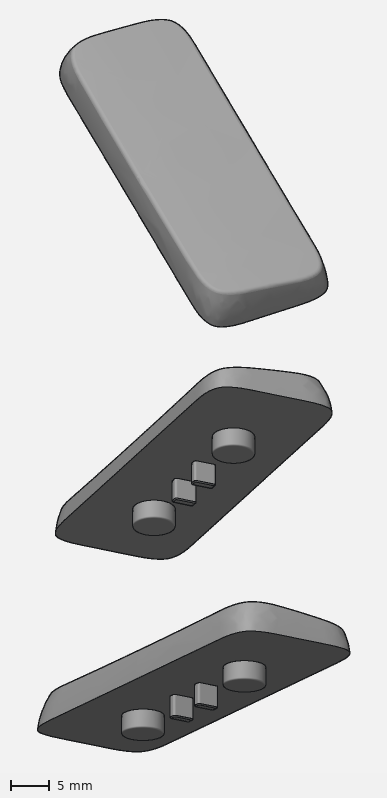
import cadquery as cq
import math

length = 51.3
width = 18.0

wall_sections = [
    (0.0, 0.0, 0.0, 0.83),
    (2.8, 0.55, 0.4, 0.82),
    (5.15, 1.55, 1.25, 0.8),
]
corner_length = 7.7
corner_width = 5.15

crest_height = 4.45
crest_y = -7.7
slope_y = -2.05
slope_height = 4.15
top_slope = 0.125
dish_depth = 0.25
dish_half_length = 23.6
rim_fillet = 0.6

boss_diameter = 5.5
boss_length = 2.5
boss_spacing = 23.9
boss_fillet = 0.2

leg_thickness = 1.25
leg_width = 3.05
leg_length = 3.0
leg_spacing = 5.8
leg_corner_radius = 0.3
leg_tip_chamfer = 0.15

overlap = 0.5


def half_outline(height, end_inset, side_inset, fullness, side):
    """Smooth curve around one end of the cap; side is 1 for the +X end and -1 for the -X end."""
    x_end = length / 2 - end_inset
    y_side = width / 2 - side_inset
    x_straight = x_end - corner_length
    y_straight = y_side - corner_width
    x_corner = x_straight + fullness * corner_length
    y_corner = y_straight + fullness * corner_width
    diagonal = math.hypot(corner_length, corner_width)
    slant_x = corner_length / diagonal
    slant_y = corner_width / diagonal
    points_and_tangents = [
        (0, -y_side, 1, 0),
        (x_straight, -y_side, 1, 0),
        (x_corner, -y_corner, slant_x, slant_y),
        (x_end, -y_straight, 0, 1),
        (x_end, y_straight, 0, 1),
        (x_corner, y_corner, -slant_x, slant_y),
        (x_straight, y_side, -1, 0),
        (0, y_side, -1, 0),
    ]
    points = [cq.Vector(side * x, side * y, height) for x, y, _, _ in points_and_tangents]
    tangents = [cq.Vector(side * dx, side * dy, 0) for _, _, dx, dy in points_and_tangents]
    return cq.Edge.makeSpline(points, tangents=tangents)


def wall_outline(section):
    """Closed outline of two matching halves that meet at the middle of the long sides."""
    return cq.Wire.assembleEdges([half_outline(*section, 1), half_outline(*section, -1)])


def make_walls():
    """Cap body with tapered walls, before its top is shaped."""
    return cq.Workplane(cq.Solid.makeLoft([wall_outline(section) for section in wall_sections]))


def make_dish_cutter():
    """Everything above the top face: its Y profile revolved about a distant axis parallel to Y."""
    dish_radius = (dish_half_length**2 + dish_depth**2) / (2 * dish_depth)
    sweep_angle = 2 * math.degrees(math.asin((length / 2 + overlap) / dish_radius))
    axis_height = crest_height + dish_radius
    reach = width / 2 + overlap
    clear_height = max(height for height, _, _, _ in wall_sections) + 2 * overlap
    slope_end = (reach, slope_height - top_slope * (reach - slope_y))
    return (
        cq.Workplane("YZ")
        .moveTo(-reach, crest_height)
        .spline(
            [(crest_y, crest_height), (slope_y, slope_height), slope_end],
            tangents=[(1, 0), (1, -top_slope)],
            includeCurrent=True,
        )
        .lineTo(reach, clear_height)
        .lineTo(-reach, clear_height)
        .close()
        .revolve(sweep_angle, (0, axis_height), (1, axis_height))
        .rotate((0, 0, axis_height), (0, 1, axis_height), -sweep_angle / 2)
    )


def make_bosses():
    """Two round bosses with a rounded lower rim."""
    return (
        cq.Workplane("XY", origin=(0, 0, overlap))
        .pushPoints([(-boss_spacing / 2, 0), (boss_spacing / 2, 0)])
        .circle(boss_diameter / 2)
        .extrude(-boss_length - overlap)
        .faces("<Z")
        .edges()
        .fillet(boss_fillet)
    )


def make_legs():
    """Two flat legs with rounded corners and chamfered tips."""
    return (
        cq.Workplane("XY", origin=(0, 0, overlap))
        .pushPoints([(-leg_spacing / 2, 0), (leg_spacing / 2, 0)])
        .rect(leg_thickness, leg_width)
        .extrude(-leg_length - overlap)
        .edges("|Z")
        .fillet(leg_corner_radius)
        .faces("<Z")
        .edges()
        .chamfer(leg_tip_chamfer)
    )


cap = make_walls().cut(make_dish_cutter())
cap = cap.faces(">Z").edges().fillet(rim_fillet)
result = cap.union(make_bosses()).union(make_legs())